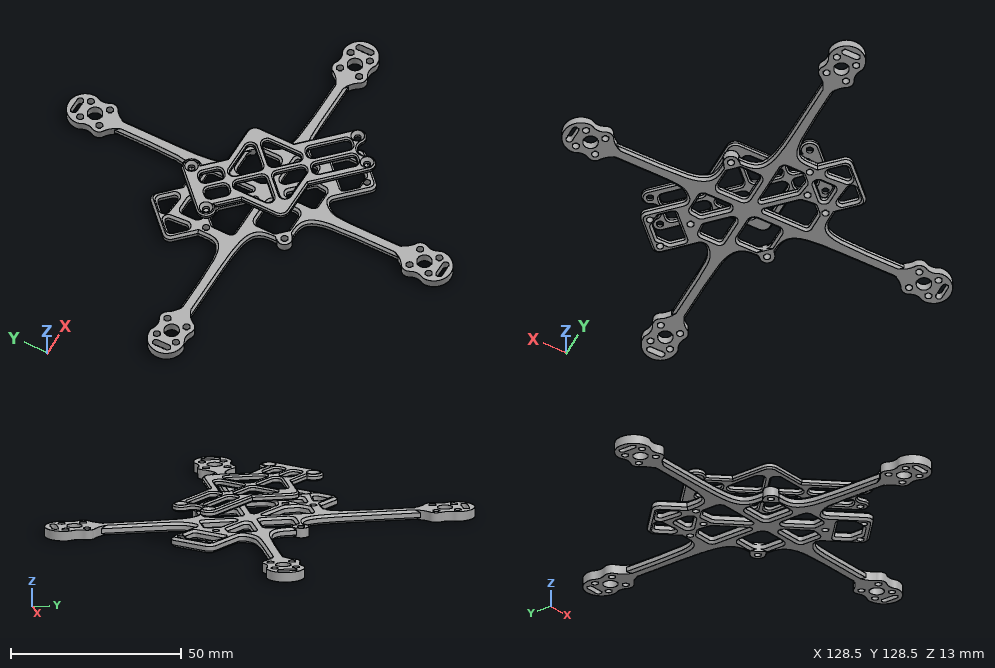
import cadquery as cq
import math

FRAME_TURN = -45.0
SQRT2 = math.sqrt(2)

OVERALL_LENGTH = 128.5
OVERALL_HEIGHT = 13.0
BASE_THICKNESS = 3.0
TOP_THICKNESS = 2.0
BASE_CHAMFER = 0.8
TOP_CHAMFER = 0.5
WINDOW_RADIUS = 1.5
SMALL_WINDOW_RADIUS = 1.0
TIP_RADIUS = 0.4

SCREW_DIAMETER = 2.0
COUNTERSINK_DIAMETER = 4.0
COUNTERSINK_ANGLE = 90.0
STACK_HOLE_REACH = 18.0
FRONT_SCREW = (-21.1, 7.8)
REAR_SCREW = (28.9, 5.0)

MOTOR_BORE_DIAMETER = 4.5
MOTOR_SCREW_OFFSET = 3.2
MOTOR_BOSS_RADIUS = 2.5
MOUNT_WAIST_RADIUS = 4.1
STRAP_SLOT_OFFSET = 6.0
STRAP_SLOT_LENGTH = 5.8
STRAP_SLOT_WIDTH = 1.9
FLARE_START_ANGLE = math.radians(25)
FLARE_MIDDLE = (-6.7, 2.8)
FLARE_END = (-10.3, 1.0)
MOUNT_RADIUS = MOTOR_SCREW_OFFSET + MOTOR_BOSS_RADIUS
MOUNT_TIP = MOTOR_SCREW_OFFSET + MOUNT_RADIUS

ARM_HALF_WIDTH = 2.0
FRONT_MOTOR_REACH = 58.0
REAR_MOTOR_REACH = OVERALL_LENGTH - FRONT_MOTOR_REACH - 2 * MOUNT_TIP
MOUNT_OVERLAP = 3.9

SIDE_BAY_ARM_END = 30.8
SIDE_BAY_BODY_END = 9.0
FRONT_BAY_ARM_END = 38.5
FRONT_BAY_BODY_END = 7.7
FRONT_BAY_WALL = 23.0
REAR_BAY_ARM_END = 29.5
REAR_BAY_U = 16.2
REAR_BAY_RADIUS = 1.8
SIDE_BAY_LEAD = 3.9
FRONT_BAY_LEAD = 2.6
REAR_BAY_LEAD = 7.7
BAY_RISE = 0.9
REAR_BAY_RISE = 3.2

BODY_HALF_WIDTH = 14.3
TAB_RADIUS = 2.3
TAB_ROOT_HALF_WIDTH = 2.5
TAB_ROOT_V = 15.7
FRONT_END = -33.9
FRONT_HALF_WIDTH = 8.7
REAR_END = 31.6
REAR_HALF_WIDTH = 7.7
END_RADIUS = 2.3

SPINE_HALF_WIDTH = 1.5
ARM_INNER_EDGE = 1.4
FRONT_WINDOW_REACH = 18.8
FRONT_WINDOW_END = -18.8
FRONT_WINDOW_END_V = (4.2, 7.7)
FRONT_WINDOW_SPINE_END = -15.4
REAR_WINDOW_REACH = 15.0
REAR_WINDOW_CORNER = (16.7, 4.5)
REAR_WINDOW_SPINE_END = 14.4
SIDE_WINDOW_REACH = 12.1
SIDE_WINDOW_TAB_RADIUS = 3.2
NOSE_FRONT = -32.0
NOSE_REAR = -24.2
NOSE_HALF_WIDTH = 6.5
NOSE_TIP_V = -0.3
VEE_TIP = -26.6
VEE_END = -21.1
VEE_HALF_WIDTH = 3.9
TAIL_FRONT = 21.2
TAIL_REAR = 29.0
TAIL_HALF_WIDTH = 5.5
TAIL_CORNER_CUT = 3.0
TAIL_RADIUS = 0.6

FRONT_POST_RADIUS = 3.0
REAR_POST_RADIUS = 2.6
TOP_FRONT_END = FRONT_SCREW[0] - FRONT_POST_RADIUS
TOP_HALF_WIDTH = REAR_SCREW[1] + REAR_POST_RADIUS
DECK_HALF_WIDTH = 12.6
DECK_CORNER_RADIUS = 3.0
RIM_WIDTH = 2.6
STRUT_HALF_WIDTH = 1.0
SLOT_GAP = 1.9
FRONT_SLOT_END = -19.9
REAR_SLOT_END = 26.5
NOTCH_CENTRE_U = 30.0



def arm_point(x, y):
    """U, V of a point given by its distances along two neighbouring arms."""
    return ((x - y) / SQRT2, (x + y) / SQRT2)


def on_circle(centre, radius, angle):
    return (centre[0] + radius * math.cos(angle), centre[1] + radius * math.sin(angle))


def both_sides(points):
    return [(u, side * v) for u, v in points for side in (1, -1)]


def with_mirror(half):
    return half.union(half.mirror("XZ"))


def rounded_prism(points, height, radius):
    """Upright prism with every corner rounded alike."""
    return cq.Workplane("XY").polyline(points).close().extrude(height).edges("|Z").fillet(radius)


def mixed_prism(corners, height):
    """Upright prism whose corners, (point, radius), are each rounded by their own radius."""
    body = cq.Workplane("XY").polyline([point for point, _ in corners]).close().extrude(height)
    for (u, v), radius in corners:
        corner_edge = cq.selectors.NearestToPointSelector((u, v, height / 2))
        body = body.edges("|Z").edges(corner_edge).fillet(radius)
    return body


def cylinders(points, diameter, height):
    return cq.Workplane("XY").pushPoints(points).circle(diameter / 2).extrude(height)



def base_half():
    """The +V half of the base plate, with plain ends on the arms."""
    arm = ARM_HALF_WIDTH
    body = BODY_HALF_WIDTH
    wall = FRONT_BAY_WALL
    rear_arm_end = REAR_MOTOR_REACH - MOUNT_OVERLAP
    front_arm_end = FRONT_MOTOR_REACH - MOUNT_OVERLAP
    tab_start = body - TAB_RADIUS
    rear_bay_v = REAR_HALF_WIDTH + REAR_BAY_RADIUS
    rear_corner = (REAR_END - END_RADIUS, REAR_HALF_WIDTH - END_RADIUS)
    front_corner = (FRONT_END + END_RADIUS, FRONT_HALF_WIDTH - END_RADIUS)
    rear_bay_centre = (REAR_BAY_U + REAR_BAY_RADIUS, rear_bay_v)

    outline = cq.Workplane("XY").moveTo(REAR_END, 0).lineTo(REAR_END, rear_corner[1])
    outline = outline.threePointArc(
        on_circle(rear_corner, END_RADIUS, math.radians(45)), (rear_corner[0], REAR_HALF_WIDTH)
    )
    outline = outline.lineTo(rear_bay_centre[0], REAR_HALF_WIDTH)
    outline = outline.threePointArc(
        on_circle(rear_bay_centre, REAR_BAY_RADIUS, math.radians(225)), (REAR_BAY_U, rear_bay_v)
    )
    outline = outline.bezier(
        [
            (REAR_BAY_U, rear_bay_v + REAR_BAY_RISE),
            arm_point(REAR_BAY_ARM_END - REAR_BAY_LEAD, -arm),
            arm_point(REAR_BAY_ARM_END, -arm),
        ],
        includeCurrent=True,
    )
    outline = outline.lineTo(*arm_point(rear_arm_end, -arm)).lineTo(*arm_point(rear_arm_end, arm))
    outline = outline.lineTo(*arm_point(SIDE_BAY_ARM_END, arm))
    outline = outline.bezier(
        [
            arm_point(body + SIDE_BAY_LEAD, arm),
            arm_point(body, arm + BAY_RISE),
            arm_point(body, SIDE_BAY_BODY_END),
        ],
        includeCurrent=True,
    )
    outline = outline.lineTo(*arm_point(body, tab_start)).lineTo(*arm_point(tab_start, body))
    outline = outline.lineTo(*arm_point(SIDE_BAY_BODY_END, body))
    outline = outline.bezier(
        [
            arm_point(arm + BAY_RISE, body),
            arm_point(arm, body + SIDE_BAY_LEAD),
            arm_point(arm, SIDE_BAY_ARM_END),
        ],
        includeCurrent=True,
    )
    outline = outline.lineTo(*arm_point(arm, front_arm_end)).lineTo(*arm_point(-arm, front_arm_end))
    outline = outline.lineTo(*arm_point(-arm, FRONT_BAY_ARM_END))
    outline = outline.bezier(
        [
            arm_point(-arm, wall + FRONT_BAY_LEAD),
            arm_point(-arm - BAY_RISE, wall),
            arm_point(-FRONT_BAY_BODY_END, wall),
        ],
        includeCurrent=True,
    )
    outline = outline.lineTo(FRONT_HALF_WIDTH - wall * SQRT2, FRONT_HALF_WIDTH)
    outline = outline.lineTo(front_corner[0], FRONT_HALF_WIDTH)
    outline = outline.threePointArc(
        on_circle(front_corner, END_RADIUS, math.radians(135)), (FRONT_END, front_corner[1])
    )
    return outline.lineTo(FRONT_END, 0).close().extrude(BASE_THICKNESS)


def front_window():
    """Window between a front arm and the spine."""
    end_low, end_high = FRONT_WINDOW_END_V
    tip_u = -ARM_INNER_EDGE * SQRT2 - SPINE_HALF_WIDTH
    corners = [
        ((tip_u, SPINE_HALF_WIDTH), TIP_RADIUS),
        (arm_point(-ARM_INNER_EDGE, FRONT_WINDOW_REACH), SMALL_WINDOW_RADIUS),
        ((FRONT_WINDOW_END, end_high), SMALL_WINDOW_RADIUS),
        ((FRONT_WINDOW_END, end_low), SMALL_WINDOW_RADIUS),
        ((FRONT_WINDOW_SPINE_END, SPINE_HALF_WIDTH), SMALL_WINDOW_RADIUS),
    ]
    return mixed_prism(corners, BASE_THICKNESS)


def rear_window():
    """Window between a rear arm and the spine."""
    tip_u = ARM_INNER_EDGE * SQRT2 + SPINE_HALF_WIDTH
    points = [
        (tip_u, SPINE_HALF_WIDTH),
        arm_point(REAR_WINDOW_REACH, -ARM_INNER_EDGE),
        REAR_WINDOW_CORNER,
        (REAR_WINDOW_SPINE_END, SPINE_HALF_WIDTH),
    ]
    return rounded_prism(points, BASE_THICKNESS, SMALL_WINDOW_RADIUS)


def side_window():
    """Square window between a front and a rear arm, well rounded beside the tab."""
    near = ARM_HALF_WIDTH
    far = SIDE_WINDOW_REACH
    corners = [
        (arm_point(near, near), WINDOW_RADIUS),
        (arm_point(far, near), WINDOW_RADIUS),
        (arm_point(far, far), SIDE_WINDOW_TAB_RADIUS),
        (arm_point(near, far), WINDOW_RADIUS),
    ]
    return mixed_prism(corners, BASE_THICKNESS)


def nose_window():
    """Triangle at the front, outside one leg of the vee."""
    points = [(NOSE_FRONT, NOSE_HALF_WIDTH), (NOSE_REAR, NOSE_HALF_WIDTH), (NOSE_FRONT, NOSE_TIP_V)]
    return rounded_prism(points, BASE_THICKNESS, SMALL_WINDOW_RADIUS)


def vee_window():
    """Window on the centreline, between the legs of the vee."""
    shoulder = VEE_TIP + VEE_HALF_WIDTH
    points = [(VEE_TIP, 0)]
    points += [(shoulder, VEE_HALF_WIDTH), (VEE_END, VEE_HALF_WIDTH)]
    points += [(VEE_END, -VEE_HALF_WIDTH), (shoulder, -VEE_HALF_WIDTH)]
    return rounded_prism(points, BASE_THICKNESS, SMALL_WINDOW_RADIUS)


def tail_window():
    """Window at the rear, with its rear corners cut off beside the screws."""
    cut_u = TAIL_REAR - TAIL_CORNER_CUT
    cut_v = TAIL_HALF_WIDTH - TAIL_CORNER_CUT
    points = [(TAIL_FRONT, TAIL_HALF_WIDTH), (cut_u, TAIL_HALF_WIDTH), (TAIL_REAR, cut_v)]
    points += [(TAIL_REAR, -cut_v), (cut_u, -TAIL_HALF_WIDTH), (TAIL_FRONT, -TAIL_HALF_WIDTH)]
    return rounded_prism(points, BASE_THICKNESS, TAIL_RADIUS)


def base_windows():
    paired = front_window().union(rear_window()).union(side_window()).union(nose_window())
    return with_mirror(paired).union(vee_window()).union(tail_window())


def tab():
    """Round stack-screw tab with a square-edged root between two side bays."""
    root_outer_v = BODY_HALF_WIDTH * SQRT2 - TAB_ROOT_HALF_WIDTH
    root = (
        cq.Workplane("XY")
        .moveTo(-TAB_ROOT_HALF_WIDTH, TAB_ROOT_V)
        .lineTo(TAB_ROOT_HALF_WIDTH, TAB_ROOT_V)
        .lineTo(TAB_ROOT_HALF_WIDTH, root_outer_v)
        .lineTo(-TAB_ROOT_HALF_WIDTH, root_outer_v)
        .close()
        .extrude(BASE_THICKNESS)
    )
    return root.union(cylinders([(0, STACK_HOLE_REACH)], 2 * TAB_RADIUS, BASE_THICKNESS))


def motor_mount():
    """Motor pad centred on the motor axis, with its tip toward +U and its flare toward -U."""
    offset = MOTOR_SCREW_OFFSET
    outer_boss = (offset, offset)
    inner_boss = (-offset, offset)
    centre_spacing = MOTOR_BOSS_RADIUS + MOUNT_WAIST_RADIUS
    waist_angle = math.acos(offset / centre_spacing)
    waist_v = offset + centre_spacing * math.sin(waist_angle)
    boss_middle_angle = (waist_angle + math.pi / 2) / 2
    mirrored_waist_angle = math.pi - waist_angle
    outer_touch = on_circle(outer_boss, MOTOR_BOSS_RADIUS, mirrored_waist_angle)
    inner_touch = on_circle(inner_boss, MOTOR_BOSS_RADIUS, waist_angle)
    flare_angle = math.pi - FLARE_START_ANGLE
    inner_middle_angle = (waist_angle + flare_angle) / 2
    half = (
        cq.Workplane("XY")
        .moveTo(MOUNT_TIP, 0)
        .threePointArc(on_circle((offset, 0), MOUNT_RADIUS, math.radians(45)), (offset, MOUNT_RADIUS))
        .threePointArc(on_circle(outer_boss, MOTOR_BOSS_RADIUS, math.pi - boss_middle_angle), outer_touch)
        .threePointArc((0, waist_v - MOUNT_WAIST_RADIUS), inner_touch)
        .threePointArc(
            on_circle(inner_boss, MOTOR_BOSS_RADIUS, inner_middle_angle),
            on_circle(inner_boss, MOTOR_BOSS_RADIUS, flare_angle),
        )
        .threePointArc(FLARE_MIDDLE, FLARE_END)
        .lineTo(FLARE_END[0], 0)
        .close()
        .extrude(BASE_THICKNESS)
    )
    return with_mirror(half)


def motor_openings():
    """Shaft bore, four motor screws and strap slot of one mount."""
    offset = MOTOR_SCREW_OFFSET
    bore = cylinders([(0, 0)], MOTOR_BORE_DIAMETER, BASE_THICKNESS)
    screws = cylinders(both_sides([(offset, offset), (-offset, offset)]), SCREW_DIAMETER, BASE_THICKNESS)
    slot = (
        cq.Workplane("XY")
        .center(STRAP_SLOT_OFFSET, 0)
        .slot2D(STRAP_SLOT_LENGTH, STRAP_SLOT_WIDTH, 90)
        .extrude(BASE_THICKNESS)
    )
    return bore.union(screws).union(slot)


def on_arm(body, angle, reach):
    return body.translate((reach, 0, 0)).rotate((0, 0, 0), (0, 0, 1), angle)


def make_base_plate():
    plate = with_mirror(base_half()).cut(base_windows())
    plate = plate.faces("|Z").edges().chamfer(BASE_CHAMFER)

    tabs = both_sides([(0, STACK_HOLE_REACH)])
    plate = plate.union(with_mirror(tab()))
    arms = [(side * angle, reach)
            for angle, reach in ((45, REAR_MOTOR_REACH), (135, FRONT_MOTOR_REACH))
            for side in (1, -1)]
    for angle, reach in arms:
        plate = plate.union(on_arm(motor_mount(), angle, reach))
        plate = plate.cut(on_arm(motor_openings(), angle, reach))

    screws = tabs + [(STACK_HOLE_REACH, 0), (-STACK_HOLE_REACH, 0)]
    screws += both_sides([FRONT_SCREW, REAR_SCREW])
    return plate.cut(cylinders(screws, SCREW_DIAMETER, BASE_THICKNESS))



def top_blank():
    """Square deck and long bar, with posts at the front and a notch between the rear posts."""
    half = DECK_HALF_WIDTH
    deck_points = [arm_point(half, half), arm_point(half, -half)]
    deck_points += [arm_point(-half, -half), arm_point(-half, half)]
    deck = rounded_prism(deck_points, TOP_THICKNESS, DECK_CORNER_RADIUS)

    front_u, front_v = FRONT_SCREW
    rear_u, rear_v = REAR_SCREW
    notch_radius = math.hypot(NOTCH_CENTRE_U - rear_u, rear_v) - REAR_POST_RADIUS
    notch_share = REAR_POST_RADIUS / (REAR_POST_RADIUS + notch_radius)
    touch_u = rear_u + (NOTCH_CENTRE_U - rear_u) * notch_share
    touch_v = rear_v * (1 - notch_share)
    bar = (
        cq.Workplane("XY")
        .moveTo(TOP_FRONT_END, front_v)
        .lineTo(front_u, front_v)
        .lineTo(front_u, TOP_HALF_WIDTH)
        .lineTo(rear_u, TOP_HALF_WIDTH)
        .threePointArc((rear_u + REAR_POST_RADIUS, rear_v), (touch_u, touch_v))
        .threePointArc((NOTCH_CENTRE_U - notch_radius, 0), (touch_u, -touch_v))
        .threePointArc((rear_u + REAR_POST_RADIUS, -rear_v), (rear_u, -TOP_HALF_WIDTH))
        .lineTo(front_u, -TOP_HALF_WIDTH)
        .lineTo(front_u, -front_v)
        .lineTo(TOP_FRONT_END, -front_v)
        .close()
        .extrude(TOP_THICKNESS)
    )
    front_posts = cylinders(both_sides([FRONT_SCREW]), 2 * FRONT_POST_RADIUS, TOP_THICKNESS)
    return deck.union(bar).union(front_posts)


def top_windows():
    """Four triangles in the deck, and a pair of slots toward each end."""
    strut = STRUT_HALF_WIDTH
    corner = (DECK_HALF_WIDTH - RIM_WIDTH) * SQRT2 - strut
    triangle = rounded_prism([(strut, strut), (corner, strut), (strut, corner)], TOP_THICKNESS, WINDOW_RADIUS)
    half = triangle.union(triangle.mirror("YZ"))

    triangle_end = corner - WINDOW_RADIUS * SQRT2
    slot_start = triangle_end + SLOT_GAP
    slot_side = TOP_HALF_WIDTH - RIM_WIDTH
    for low, high in ((FRONT_SLOT_END, -slot_start), (slot_start, REAR_SLOT_END)):
        points = [(low, strut), (high, strut), (high, slot_side), (low, slot_side)]
        half = half.union(rounded_prism(points, TOP_THICKNESS, WINDOW_RADIUS))
    return with_mirror(half)


def make_top_plate():
    plate = top_blank().cut(top_windows())
    plate = plate.faces("|Z").edges().chamfer(TOP_CHAMFER)
    plate = (
        plate.faces(">Z")
        .workplane(origin=(0, 0, TOP_THICKNESS))
        .pushPoints(both_sides([FRONT_SCREW, REAR_SCREW]))
        .cskHole(SCREW_DIAMETER, COUNTERSINK_DIAMETER, COUNTERSINK_ANGLE)
    )
    return plate.translate((0, 0, OVERALL_HEIGHT - TOP_THICKNESS))



def turned(body):
    return body.rotate((0, 0, 0), (0, 0, 1), FRAME_TURN)


base_plate = turned(make_base_plate())
top_plate = turned(make_top_plate())
result = cq.Compound.makeCompound([base_plate.val(), top_plate.val()])